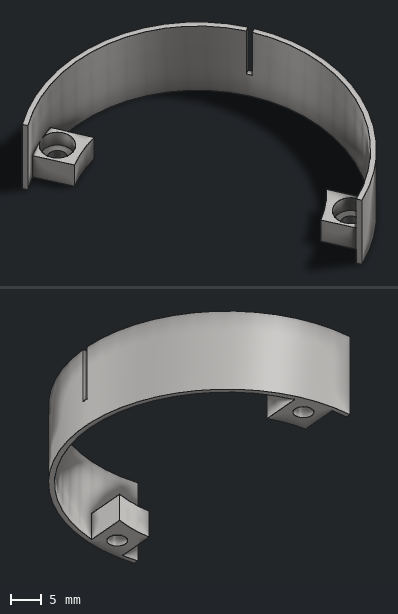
import cadquery as cq

outer_radius = 29.15
wall_thickness = 1.0
wall_height = 15.0
end_y = -3.05
inner_radius = outer_radius - wall_thickness

slot_width = 1.0
slot_depth = wall_height * 2 / 3

lug_height = wall_height / 3
lug_length = 7.0
lug_inner_radius = 21.0
hole_x = 25.0
hole_y = lug_length / 2
hole_diameter = 3.4
counterbore_diameter = 5.9
counterbore_depth = 3.0


def ring(outer, inner, height):
    return cq.Workplane("XY").circle(outer).circle(inner).extrude(height)


def region(y_start, y_end, height):
    """Block across the full width of the part, between two Y positions."""
    return (
        cq.Workplane("XY")
        .box(2 * outer_radius, y_end - y_start, height, centered=(True, False, False))
        .translate((0, y_start, 0))
    )


def make_wall():
    arc = ring(outer_radius, inner_radius, wall_height).intersect(
        region(end_y, outer_radius, wall_height)
    )
    slot = (
        cq.Workplane("XY")
        .workplane(offset=wall_height - slot_depth)
        .center(0, outer_radius)
        .rect(slot_width, 4 * wall_thickness)
        .extrude(slot_depth)
    )
    return arc.cut(slot)


def make_lugs():
    overlap_radius = inner_radius + wall_thickness / 2
    lugs = ring(overlap_radius, lug_inner_radius, lug_height).intersect(
        region(0, lug_length, lug_height)
    )
    return (
        lugs.faces(">Z")
        .workplane(origin=(0, 0, lug_height))
        .pushPoints([(-hole_x, hole_y), (hole_x, hole_y)])
        .cboreHole(hole_diameter, counterbore_diameter, counterbore_depth)
    )


result = make_wall().union(make_lugs())